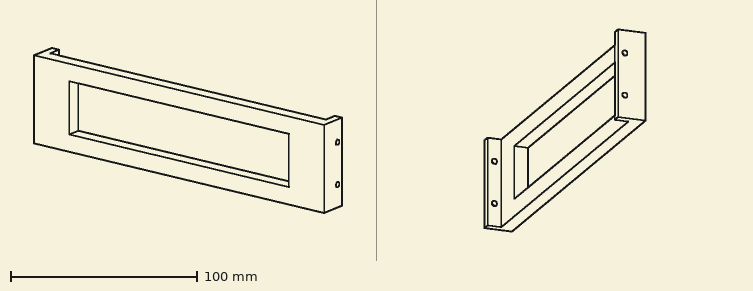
import cadquery as cq

length = 196.5
depth = 16.0
height = 50.0

plate_thickness = 8.0
window_length = 148.5
window_height = 30.0

tab_thickness = 5.0
hole_diameter = 3.0
hole_spacing = 24.0
hole_from_back = 4.0

blank = cq.Workplane("XY").box(length, depth, height, centered=(True, False, True))
recess = (
    cq.Workplane("XY")
    .box(length - 2 * tab_thickness, depth - plate_thickness, height, centered=(True, False, True))
    .translate((0, plate_thickness, 0))
)

window = cq.Workplane("XY").box(
    window_length, plate_thickness, window_height, centered=(True, False, True)
)

hole_y = depth - hole_from_back
screw_holes = (
    cq.Workplane("YZ")
    .pushPoints([(hole_y, side * hole_spacing / 2) for side in (-1, 1)])
    .circle(hole_diameter / 2)
    .extrude(length / 2, both=True)
)

result = blank.cut(recess).cut(window).cut(screw_holes)